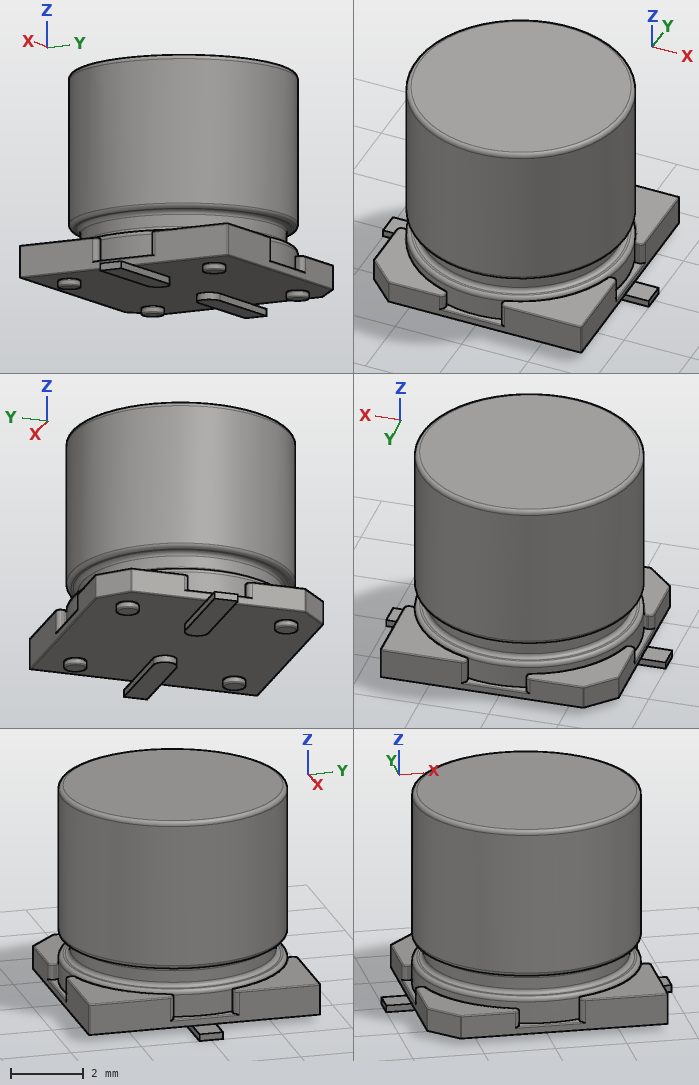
import cadquery as cq

total_length = 8.0
total_height = 6.1
base_width = 6.6

can_diameter = 6.3
neck_diameter = 5.67
groove_bottom = 1.21
groove_top = 1.8
can_round = 0.13

standoff = 0.2
notch_floor = 0.44
low_corner_top = 0.89
high_corner_top = 1.1
corner_cut = 0.78
notch_half_width = 0.85
notch_mouth_round = 0.14
notch_inner_round = 0.1
base_edge_round = 0.03

lead_width = 0.67
lead_inner_end = 1.08
pin_diameter = 0.63
pin_offset = 2.3
pin_edge_round = 0.04

can_radius = can_diameter / 2
base_half = base_width / 2
notch_width = 2 * notch_half_width

position_tolerance = 0.001


def make_can():
    """Cylindrical can with a rolled neck groove and rounded rims."""
    can = (
        cq.Workplane("XY")
        .workplane(offset=notch_floor)
        .circle(can_radius)
        .extrude(total_height - notch_floor)
    )
    groove = (
        cq.Workplane("XY")
        .workplane(offset=groove_bottom)
        .circle(can_radius)
        .circle(neck_diameter / 2)
        .extrude(groove_top - groove_bottom)
    )
    can = can.cut(groove)
    rims = can.edges("%CIRCLE").filter(lambda e: e.Center().z > groove_bottom - position_tolerance)
    return rims.fillet(can_round)


def make_base_block():
    """Square base with two cut corners, two corner heights, side notches and the can seat."""
    base = (
        cq.Workplane("XY")
        .workplane(offset=standoff)
        .rect(base_width, base_width)
        .extrude(high_corner_top - standoff)
        .edges("|Z and <X")
        .chamfer(corner_cut)
    )
    low_side = (
        cq.Workplane("XY")
        .workplane(offset=low_corner_top)
        .center(-base_half / 2, 0)
        .rect(base_half, base_width)
        .extrude(high_corner_top - low_corner_top)
    )
    seat_and_notches = (
        cq.Workplane("XY")
        .workplane(offset=notch_floor)
        .circle(can_radius)
        .extrude(high_corner_top - notch_floor)
    )
    for length, width in ((base_width, notch_width), (notch_width, base_width)):
        notch = (
            cq.Workplane("XY")
            .workplane(offset=notch_floor)
            .rect(length, width)
            .extrude(high_corner_top - notch_floor)
        )
        seat_and_notches = seat_and_notches.union(notch)
    return base.cut(low_side).cut(seat_and_notches)


def is_notch_edge(edge):
    """True for an upright edge on a notch wall."""
    center = edge.Center()
    nearest_axis = min(abs(center.x), abs(center.y))
    return abs(nearest_axis - notch_half_width) < position_tolerance


def is_outer_edge(edge):
    """True for an edge whose middle lies on a side of the base square."""
    center = edge.Center()
    return max(abs(center.x), abs(center.y)) > base_half - position_tolerance


def is_corner_edge(edge):
    """True for an upright corner edge that reaches down to the underside of the base."""
    reaches_bottom = edge.BoundingBox().zmin < standoff + position_tolerance
    return is_outer_edge(edge) and reaches_bottom


def is_notch_lip(edge):
    """True for the outer edge of a notch floor."""
    return is_outer_edge(edge) and abs(edge.Center().z - notch_floor) < position_tolerance


def round_base(base):
    """Round the notch walls first, then the outer edges of the base."""
    mouth_edges = base.edges("|Z").filter(lambda e: is_notch_edge(e) and is_outer_edge(e))
    base = mouth_edges.fillet(notch_mouth_round)

    seat_edges = base.edges("|Z").filter(lambda e: is_notch_edge(e) and not is_outer_edge(e))
    base = seat_edges.fillet(notch_inner_round)

    corner_edges = base.edges("|Z").filter(is_corner_edge)
    base = corner_edges.fillet(base_edge_round)
    base = base.faces("<Z").edges().fillet(base_edge_round)
    base = base.edges().filter(is_notch_lip).fillet(base_edge_round)

    for height in (low_corner_top, high_corner_top):
        tops = base.faces("+Z").filter(lambda f: abs(f.Center().z - height) < position_tolerance)
        base = tops.edges().fillet(base_edge_round)
    return base


def make_lead():
    """Flat lead on the +X side with a fully rounded inner end."""
    half_width = lead_width / 2
    round_start = lead_inner_end + half_width
    return (
        cq.Workplane("XY")
        .moveTo(total_length / 2, -half_width)
        .lineTo(total_length / 2, half_width)
        .lineTo(round_start, half_width)
        .threePointArc((lead_inner_end, 0), (round_start, -half_width))
        .close()
        .extrude(standoff)
    )


def make_pins():
    """Four short support pins below the base, rounded at both ends."""
    return (
        cq.Workplane("XY")
        .rect(2 * pin_offset, 2 * pin_offset, forConstruction=True)
        .vertices()
        .circle(pin_diameter / 2)
        .extrude(standoff)
        .faces("|Z")
        .edges()
        .fillet(pin_edge_round)
    )


lead = make_lead()
base = round_base(make_base_block())
result = base.union(make_can()).union(make_pins()).union(lead).union(lead.mirror("YZ"))